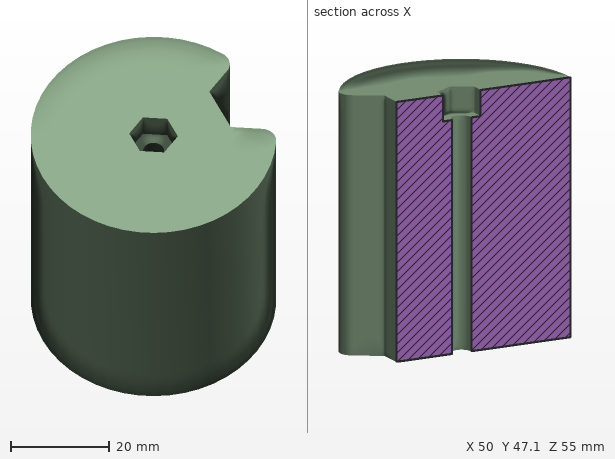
import cadquery as cq
import math

height = 55.0
diameter = 50.0
radius = diameter / 2

notch_floor_y = 15.0
notch_floor_width = 10.0
notch_wall_angle = 60.0
notch_lip_radius = 3.0

bolt_diameter = 4.3
nut_sides = 6
nut_across_flats = 8.6
nut_pocket_depth = 5.5


def make_body():
    return cq.Workplane("XY").circle(radius).extrude(height)


def make_notch():
    rise = radius - notch_floor_y
    floor_half = notch_floor_width / 2
    mouth_half = floor_half + rise / math.tan(math.radians(notch_wall_angle))
    outline = [
        (-floor_half, notch_floor_y),
        (floor_half, notch_floor_y),
        (mouth_half, radius),
        (-mouth_half, radius),
    ]
    return cq.Workplane("XY").polyline(outline).close().extrude(height)


def make_nut_pocket():
    across_corners = nut_across_flats / math.cos(math.pi / nut_sides)
    return (
        cq.Workplane("XY")
        .workplane(offset=height - nut_pocket_depth)
        .polygon(nut_sides, across_corners)
        .extrude(nut_pocket_depth)
    )


def make_bolt_hole():
    return cq.Workplane("XY").circle(bolt_diameter / 2).extrude(height)


body = make_body().cut(make_notch())

lip_edges = cq.selectors.BoxSelector(
    (-radius, (notch_floor_y + radius) / 2, 0),
    (radius, radius, height),
)
body = body.edges("|Z").edges(lip_edges).fillet(notch_lip_radius)

result = body.cut(make_nut_pocket()).cut(make_bolt_hole())